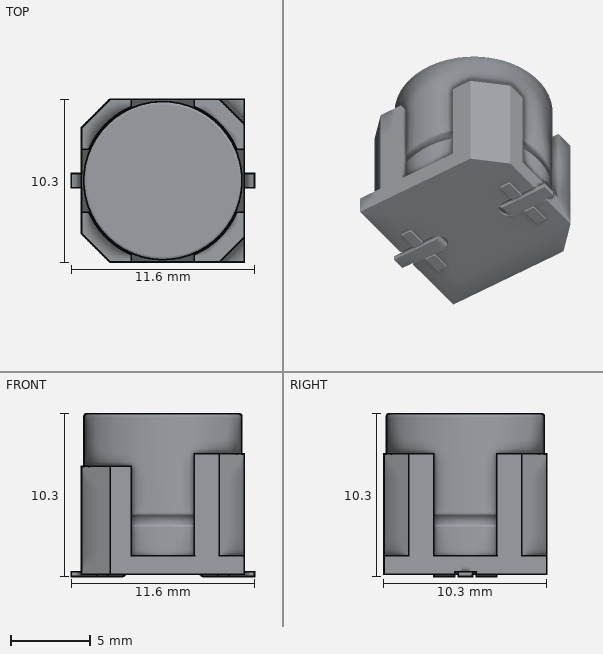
import cadquery as cq
import math


overall_length = 11.6
overall_height = 10.3

base_width = 10.3
base_bottom = 0.14
base_top = 1.32
low_post_top = 6.97
high_post_top = 7.76
post_gap = 3.99
base_corner_cut = 1.81
post_corner_cut = 1.58

can_radius = 5.0
post_clearance = 0.08
top_fillet = 0.2
groove_radius = 0.3
groove_fillet = 0.2
groove_height = 3.58

terminal_width = 0.93
terminal_thickness = 0.31
terminal_inner_x = 2.32
terminal_bend_radius = 0.3
channel_width = 1.35
pad_inner_x = 3.46
pad_length = 0.7

half_width = base_width / 2
half_gap = post_gap / 2


def cut_corner_box(bottom, top, x_side, cut):
    """Square block with its two vertical corners on one X side cut off."""
    return (
        cq.Workplane("XY", origin=(0, 0, bottom))
        .rect(base_width, base_width)
        .extrude(top - bottom)
        .edges("|Z and " + ("<X" if x_side < 0 else ">X"))
        .chamfer(cut)
    )


def make_posts(x_side, top, cut):
    """The two corner posts on one X side, bored to clear the can."""
    block = cut_corner_box(base_top, top, x_side, cut)
    bore = (
        cq.Workplane("XY", origin=(0, 0, base_top))
        .circle(can_radius + post_clearance)
        .extrude(top - base_top)
    )
    post_size = half_width - half_gap
    post_offset = half_gap + post_size / 2
    corners = (
        cq.Workplane("XY", origin=(0, 0, base_top))
        .pushPoints([(x_side * post_offset, y_side * post_offset) for y_side in (-1, 1)])
        .rect(post_size, post_size)
        .extrude(top - base_top)
    )
    return block.intersect(corners).cut(bore)


def make_can():
    """Can of revolution with a rounded top edge and a rolled groove."""
    fillet_center_radius = can_radius - groove_fillet
    center_distance = groove_radius + groove_fillet
    half_groove = math.sqrt(center_distance**2 - groove_fillet**2)
    touch_ratio = groove_radius / center_distance
    touch_radius = can_radius - groove_fillet * touch_ratio
    touch_offset = half_groove * touch_ratio
    half_angle = math.atan2(half_groove, groove_fillet) / 2
    mid_radius = fillet_center_radius + groove_fillet * math.cos(half_angle)
    mid_offset = half_groove - groove_fillet * math.sin(half_angle)

    fillet_diagonal = top_fillet * math.sqrt(0.5)
    top_mid = (
        can_radius - top_fillet + fillet_diagonal,
        overall_height - top_fillet + fillet_diagonal,
    )
    profile = (
        cq.Workplane("XZ")
        .moveTo(0, base_top)
        .lineTo(can_radius, base_top)
        .lineTo(can_radius, groove_height - half_groove)
        .threePointArc(
            (mid_radius, groove_height - mid_offset),
            (touch_radius, groove_height - touch_offset),
        )
        .threePointArc(
            (can_radius - groove_radius, groove_height),
            (touch_radius, groove_height + touch_offset),
        )
        .threePointArc(
            (mid_radius, groove_height + mid_offset),
            (can_radius, groove_height + half_groove),
        )
        .lineTo(can_radius, overall_height - top_fillet)
        .threePointArc(top_mid, (can_radius - top_fillet, overall_height))
        .lineTo(0, overall_height)
        .close()
    )
    return profile.revolve(360, (0, 0, 0), (0, 1, 0))


def make_channel(side):
    """Round-ended channel under the base, open at its X face."""
    end_radius = channel_width / 2
    side_clearance = (channel_width - terminal_width) / 2
    end_center_x = terminal_inner_x - side_clearance + end_radius
    return (
        cq.Workplane("XY", origin=(0, 0, base_bottom))
        .moveTo(side * half_width, -end_radius)
        .lineTo(side * end_center_x, -end_radius)
        .threePointArc(
            (side * (end_center_x - end_radius), 0),
            (side * end_center_x, end_radius),
        )
        .lineTo(side * half_width, end_radius)
        .close()
        .extrude(terminal_thickness - base_bottom)
    )


def make_terminal(side):
    """Flat terminal reaching past the base, rounded below its inner end."""
    length = overall_length / 2 - terminal_inner_x
    center_x = side * (terminal_inner_x + length / 2)
    inner_face = "<X" if side > 0 else ">X"
    return (
        cq.Workplane("XY")
        .center(center_x, 0)
        .rect(length, terminal_width)
        .extrude(terminal_thickness)
        .faces(inner_face)
        .edges("<Z")
        .fillet(terminal_bend_radius)
    )


def make_pads():
    """Four stand-off pads, one on each side of each channel."""
    pad_width = half_gap - channel_width / 2
    pad_x = pad_inner_x + pad_length / 2
    pad_y = half_gap - pad_width / 2
    return (
        cq.Workplane("XY")
        .rect(2 * pad_x, 2 * pad_y, forConstruction=True)
        .vertices()
        .rect(pad_length, pad_width)
        .extrude(base_bottom)
    )


base = cut_corner_box(base_bottom, base_top, -1, base_corner_cut)
for side in (-1, 1):
    base = base.cut(make_channel(side))

result = base.union(make_can()).union(make_pads())
result = result.union(make_posts(-1, low_post_top, base_corner_cut))
result = result.union(make_posts(1, high_post_top, post_corner_cut))
for side in (-1, 1):
    result = result.union(make_terminal(side))